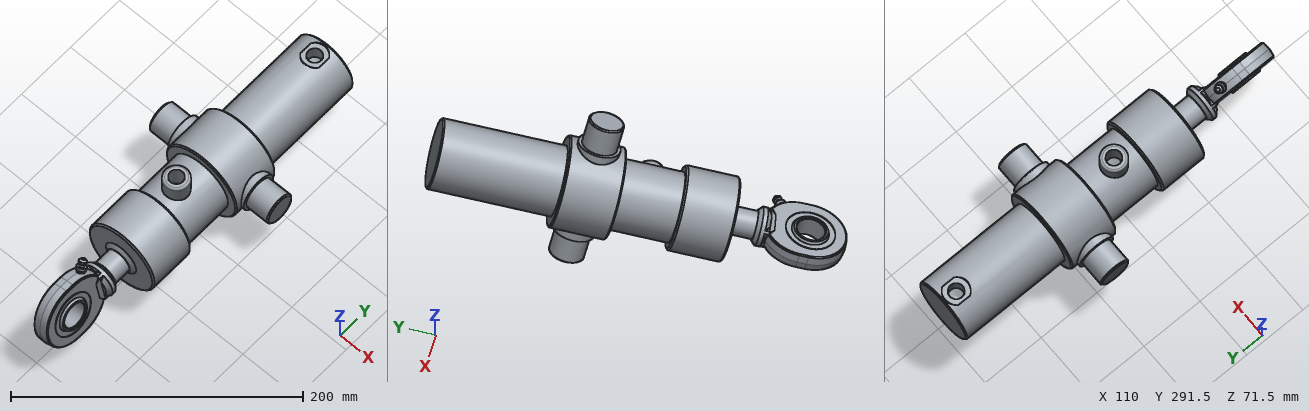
import cadquery as cq
import math


barrel_dia = 50
gland_dia = 60
gland_start = 171.2
gland_end = 209.5
edge_chamfer = 1.0
gland_chamfer = 1.2

trunnion_dia = 65
trunnion_width = 40
trunnion_station = 108
pin_dia = 25
pin_span = 110
shoulder_dia = 30
shoulder_span = 70

port_hole_dia = 11.5
drill_point_angle = 118
rear_port_station = 12
spotface_dia = 20
spotface_depth = 1.5
rear_port_depth = 12
front_port_station = 153
port_boss_dia = 20
port_boss_top = 39
port_boss_fillet = 1.8
front_port_depth = 19

rod_dia = 20
rod_inner_end = 25
lip_base_dia = 28
lip_tip_dia = 21
lip_length = 2.5

eye_tilt = -12.5
eye_station = 265
eye_radius = 26.5
eye_flat_length = 6.5
eye_thickness = 13
eye_edge_chamfer = 0.8
eye_draft = 6
collar_dia = 27.5
collar_start = 230
collar_length = 3.2
collar_rear_chamfer = 3
collar_rear = collar_start - collar_rear_chamfer
collar_front = collar_start + collar_length
collar_front_chamfer = 3.2
blend_length = 3.6
blend_thickness = 15.5
blend_height = 25
blend_height_at_plate = 15.5

bearing_recess_dia = 35
bearing_recess_depth = 0.5
ball_dia = 29
ball_width = 16
bore_dia = 20
bore_chamfer = 0.6

nipple_lean = 30
nipple_root_depth = 2
nipple_root_dia = 6
nipple_collar_bottom = 1.5
nipple_collar_top = 4
nipple_collar_dia = 7.5
nipple_neck_dia = 3.5
nipple_neck_top = 6
nipple_head_bottom = 7
nipple_head_top = 8.5
nipple_head_dia = 6
nipple_tip_dia = 3
nipple_height = 10


def turned(profile):
    """Solid of revolution about Y from (station, radius) points; the ends close on the axis."""
    points = [(radius, -station) for station, radius in profile]
    outline = [(0, points[0][1])] + points + [(0, points[-1][1])]
    return cq.Workplane("XY").polyline(outline).close().revolve(360, (0, 0, 0), (0, 1, 0))


def chamfered_bar(start, end, diameter, chamfer):
    """Round bar along Y with both end edges chamfered."""
    radius = diameter / 2
    return turned([
        (start, radius - chamfer),
        (start + chamfer, radius),
        (end - chamfer, radius),
        (end, radius - chamfer),
    ])


def upright(station, bottom, top, diameter):
    """Vertical cylinder on the axis at the given station."""
    return (
        cq.Workplane("XY", origin=(0, -station, bottom))
        .circle(diameter / 2)
        .extrude(top - bottom)
    )


def drilled_hole(station, top, depth):
    """Blind port hole with a conical drill point, as a cutter."""
    radius = port_hole_dia / 2
    point_length = radius / math.tan(math.radians(drill_point_angle / 2))
    return (
        cq.Workplane("XZ", origin=(0, -station, 0))
        .polyline([(0, top), (radius, top), (radius, top - depth), (0, top - depth - point_length)])
        .close()
        .revolve(360, (0, 0, 0), (0, 1, 0))
    )


def cross_bar(diameter, span):
    """Cylinder along X through the trunnion centre."""
    return (
        cq.Workplane("YZ", origin=(-span / 2, -trunnion_station, 0))
        .circle(diameter / 2)
        .extrude(span)
    )


def make_cylinder():
    """Barrel, gland, trunnion and ports as one welded body, bored for the rod."""
    half_width = trunnion_width / 2
    body = chamfered_bar(0, gland_start + gland_chamfer, barrel_dia, edge_chamfer)
    body = body.union(chamfered_bar(gland_start, gland_end, gland_dia, gland_chamfer))
    body = body.union(
        chamfered_bar(
            trunnion_station - half_width, trunnion_station + half_width, trunnion_dia, edge_chamfer
        )
    )
    pins = cross_bar(pin_dia, pin_span).faces("<X or >X").chamfer(edge_chamfer)
    body = body.union(cross_bar(shoulder_dia, shoulder_span)).union(pins)

    boss = upright(front_port_station, 0, port_boss_top, port_boss_dia)
    body = body.union(boss.faces(">Z").edges().fillet(port_boss_fillet))
    body = body.cut(drilled_hole(front_port_station, port_boss_top, front_port_depth))

    barrel_top = barrel_dia / 2
    spotface_level = barrel_top - spotface_depth
    body = body.cut(upright(rear_port_station, spotface_level, barrel_top, spotface_dia))
    body = body.cut(drilled_hole(rear_port_station, spotface_level, rear_port_depth))

    lip_end = gland_end + lip_length
    body = body.union(turned([(gland_end, lip_base_dia / 2), (lip_end, lip_tip_dia / 2)]))
    rod_bore = turned([(rod_inner_end, rod_dia / 2), (lip_end, rod_dia / 2)])
    return body.cut(rod_bore)


def make_piston_rod():
    """Plain round rod that butts against the rear face of the rod end's collar."""
    return turned([(rod_inner_end, rod_dia / 2), (collar_rear, rod_dia / 2)])


def make_eye_plate():
    """Slot-shaped plate whose rim drafts down from a crest at mid-thickness to both faces."""
    middle = -eye_station + eye_flat_length / 2
    half_plate = (
        cq.Workplane("YZ", origin=(0, middle, 0))
        .slot2D(eye_flat_length + 2 * eye_radius, 2 * eye_radius)
        .extrude(eye_thickness / 2, taper=eye_draft)
        .faces(">X")
        .chamfer(eye_edge_chamfer)
    )
    plate = half_plate.union(half_plate.mirror("YZ"))
    behind_collar = (
        cq.Workplane("XY")
        .box(collar_dia, collar_front, 2 * eye_radius)
        .translate((0, -collar_front / 2, 0))
    )
    return plate.cut(behind_collar)


def make_collar():
    """Chamfered round collar with a squared block that tapers into the faces of the eye plate."""
    radius = collar_dia / 2
    block_end = collar_front + collar_front_chamfer
    collar = turned([
        (collar_rear, radius - collar_rear_chamfer),
        (collar_start, radius),
        (collar_front, radius),
        (block_end, radius - collar_front_chamfer),
    ])
    block = (
        cq.Workplane("XZ", origin=(0, -collar_front, 0))
        .rect(blend_thickness, blend_height)
        .extrude(collar_front_chamfer)
    )
    taper = (
        cq.Workplane("XZ", origin=(0, -block_end, 0))
        .rect(blend_thickness, blend_height)
        .workplane(offset=blend_length)
        .rect(eye_thickness, blend_height_at_plate)
        .loft()
    )
    envelope = turned([(collar_rear, radius), (block_end + blend_length, radius)])
    return collar.union(block.union(taper).intersect(envelope))


def make_nipple():
    """Grease nipple, turned about its own axis and set on the rear arc of the eye."""
    nipple = (
        cq.Workplane("XZ")
        .polyline([
            (0, -nipple_root_depth),
            (nipple_root_dia / 2, -nipple_root_depth),
            (nipple_root_dia / 2, nipple_collar_bottom),
            (nipple_collar_dia / 2, nipple_collar_bottom),
            (nipple_collar_dia / 2, nipple_collar_top),
            (nipple_neck_dia / 2, nipple_collar_top),
            (nipple_neck_dia / 2, nipple_neck_top),
            (nipple_head_dia / 2, nipple_head_bottom),
            (nipple_head_dia / 2, nipple_head_top),
            (nipple_tip_dia / 2, nipple_height),
            (0, nipple_height),
        ])
        .close()
        .revolve(360, (0, 0, 0), (0, 1, 0))
    )
    return (
        nipple.translate((0, 0, eye_radius))
        .rotate((0, 0, 0), (1, 0, 0), -nipple_lean)
        .translate((0, -eye_station + eye_flat_length, 0))
    )


def turned_about_eye(profile):
    """Solid ring or disc turned about the eye axis from (offset along X, radius) points."""
    return (
        cq.Workplane("XY")
        .polyline(profile)
        .close()
        .revolve(360, (0, 0, 0), (1, 0, 0))
        .translate((0, -eye_station, 0))
    )


def make_eye_opening():
    """Cutter for the eye: the through bore and the shallow bearing recess in both faces."""
    face = eye_thickness / 2
    recess_floor = face - bearing_recess_depth
    bore_radius = bore_dia / 2
    recess_radius = bearing_recess_dia / 2
    return turned_about_eye([
        (-face, 0),
        (-face, recess_radius),
        (-recess_floor, recess_radius),
        (-recess_floor, bore_radius),
        (recess_floor, bore_radius),
        (recess_floor, recess_radius),
        (face, recess_radius),
        (face, 0),
    ])


def make_ball_ring():
    """Bearing ring with a spherical outside and a chamfered bore."""
    end = ball_width / 2
    bore_radius = bore_dia / 2
    end_radius = math.sqrt((ball_dia / 2) ** 2 - end**2)
    return (
        cq.Workplane("XY")
        .moveTo(-end, bore_radius + bore_chamfer)
        .lineTo(-end, end_radius)
        .threePointArc((0, ball_dia / 2), (end, end_radius))
        .lineTo(end, bore_radius + bore_chamfer)
        .lineTo(end - bore_chamfer, bore_radius)
        .lineTo(bore_chamfer - end, bore_radius)
        .close()
        .revolve(360, (0, 0, 0), (1, 0, 0))
        .translate((0, -eye_station, 0))
    )


def make_rod_end():
    """Collar, eye, bearing and grease nipple as one body, tilted about the cylinder axis."""
    eye = make_eye_plate().union(make_collar()).union(make_nipple())
    eye = eye.cut(make_eye_opening()).union(make_ball_ring())
    return eye.rotate((0, 0, 0), (0, 1, 0), eye_tilt)


cylinder = make_cylinder()
piston_rod = make_piston_rod()
rod_end = make_rod_end()

result = cq.Compound.makeCompound([cylinder.solids().val(), piston_rod.val(), rod_end.solids().val()])